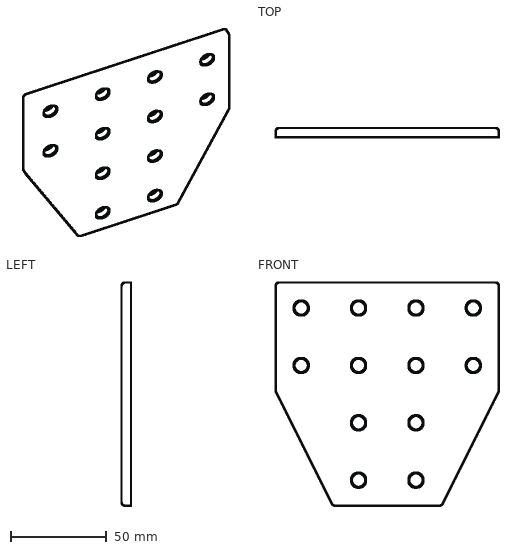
import cadquery as cq

size = 117.0
thickness = 5.0
edge_inset = 13.5
holes_per_side = 4
corner_radius = 2.0
back_edge_radius = 2.0
hole_diameter = 7.0
hole_chamfer = 0.5

half_size = size / 2
half_thickness = thickness / 2
hole_pitch = (size - 2 * edge_inset) / (holes_per_side - 1)
arm_width = hole_pitch + 2 * edge_inset
shoulder_z = half_size - arm_width
half_foot = arm_width / 2


def make_plate():
    """T-shaped joining plate with tapered sides and a rounded back (+Y) edge."""
    outline = [
        (-half_size, half_size),
        (half_size, half_size),
        (half_size, shoulder_z),
        (half_foot, -half_size),
        (-half_foot, -half_size),
        (-half_size, shoulder_z),
    ]
    plate = (
        cq.Workplane("XZ", origin=(0, half_thickness, 0))
        .polyline(outline)
        .close()
        .extrude(thickness)
    )
    plate = plate.edges("|Y").fillet(corner_radius)
    return plate.faces(">Y").edges().fillet(back_edge_radius)


def hole_centres():
    """Square grid of centres, leaving out those below the two side arms."""
    offsets = [edge_inset - half_size + i * hole_pitch for i in range(holes_per_side)]
    return [(x, z) for x in offsets for z in offsets if abs(x) < half_foot or z > shoulder_z]


def make_hole_cutters():
    """Through holes chamfered at both faces."""
    radius = hole_diameter / 2
    mouth_radius = radius + hole_chamfer
    profile = [
        (0, -half_thickness),
        (mouth_radius, -half_thickness),
        (radius, hole_chamfer - half_thickness),
        (radius, half_thickness - hole_chamfer),
        (mouth_radius, half_thickness),
        (0, half_thickness),
    ]
    cutter = cq.Workplane("XY").polyline(profile).close().revolve(360, (0, 0), (0, 1)).val()
    return [cutter.translate(cq.Vector(x, 0, z)) for x, z in hole_centres()]


result = make_plate()
for hole_cutter in make_hole_cutters():
    result = result.cut(cq.Workplane(hole_cutter))